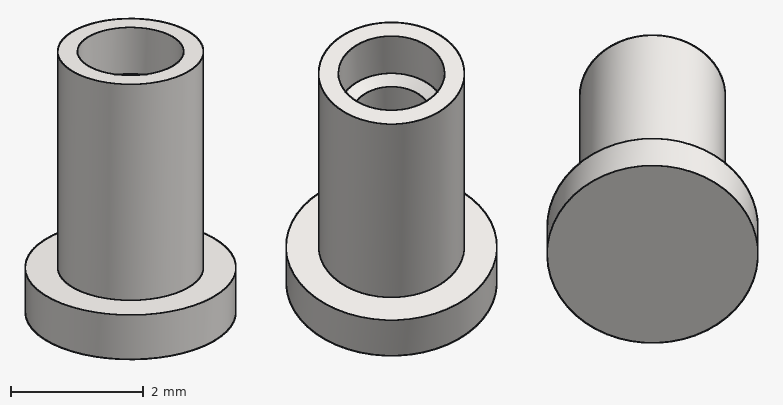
import cadquery as cq
import math

height = 4.4
flange_diameter = 3.18
flange_thickness = 0.752
barrel_diameter = 2.2

mouth_diameter = 1.6
mouth_depth = 0.785
bore_diameter = 1.2
full_bore_depth = 3.0
step_angle = 133.0
tip_angle = 104.0

mouth_radius = mouth_diameter / 2
bore_radius = bore_diameter / 2
step_drop = (mouth_radius - bore_radius) / math.tan(math.radians(step_angle / 2))
tip_drop = bore_radius / math.tan(math.radians(tip_angle / 2))

flange = cq.Workplane("XY").circle(flange_diameter / 2).extrude(flange_thickness)
barrel = cq.Workplane("XY").circle(barrel_diameter / 2).extrude(height)

mouth_floor = height - mouth_depth
bore_floor = height - full_bore_depth
bore = (
    cq.Workplane("XZ")
    .moveTo(0, height)
    .lineTo(mouth_radius, height)
    .lineTo(mouth_radius, mouth_floor)
    .lineTo(bore_radius, mouth_floor - step_drop)
    .lineTo(bore_radius, bore_floor)
    .lineTo(0, bore_floor - tip_drop)
    .close()
    .revolve(360, (0, 0, 0), (0, 1, 0))
)

result = flange.union(barrel).cut(bore)